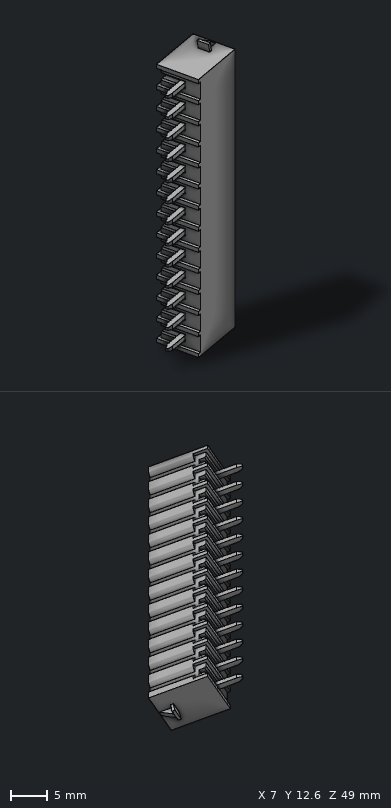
import cadquery as cq
import math

pin_count = 13
width = 7.0
depth = 9.2
row_length = 46.2
total_length = 49.0
divider_thickness = 0.7
pitch = (row_length - divider_thickness) / pin_count
left = -width / 2
cell_height = pitch - divider_thickness

face_recess = 0.5
side_recess = 0.5
side_step_y = -6.95
inner_left = left + side_recess
inner_front = -depth + face_recess

groove_floor_half = 0.35
groove_flank_angle = 42.0
groove_edge_radius = 0.5

pin_x = 0.5
pin_width = 0.9
pin_thickness = 0.8
pin_base_y = -7.6
pin_taper_y = -11.85
pin_tip_y = -12.6
pin_tip_width = 0.4
pin_tip_thickness = 0.45

slot_right = pin_x + pin_width / 2
mouth_chamfer = 0.25

hook_height = (total_length - row_length) / 2
hook_width = 1.9
hook_thickness = 0.5
hook_back_y = -2.1
hook_lean = 0.25
hook_foot = 0.3
rib_width = 0.8
rib_back_y = -0.1


def cell_centres():
    """Z positions of the pins, centred on the housing."""
    middle = (pin_count - 1) / 2
    return [(i - middle) * pitch for i in range(pin_count)]


def box(x_range, y_range, z_range):
    """Axis-aligned box from its limits."""
    sizes = [limits[1] - limits[0] for limits in (x_range, y_range, z_range)]
    corner = (x_range[0], y_range[0], z_range[0])
    return cq.Workplane("XY").box(*sizes, centered=False).translate(corner)


def pocket():
    """Front and side recess between two dividers."""
    z_range = (-cell_height / 2, cell_height / 2)
    front = box((left, -left), (-depth, inner_front), z_range)
    side = box((left, inner_left), (-depth, side_step_y), z_range)
    return front.union(side)


def side_groove():
    """Groove along Y with sloped flanks that round over into the left face."""
    angle = math.radians(groove_flank_angle)
    round_depth = groove_edge_radius * (1 - math.cos(angle))
    round_height = groove_edge_radius * math.sin(angle)
    flank_half = groove_floor_half + (side_recess - round_depth) / math.tan(angle)
    mouth_half = flank_half + round_height
    flank_x = left + round_depth
    arc_mid_x = left + groove_edge_radius * (1 - math.cos(angle / 2))
    arc_mid_half = mouth_half - groove_edge_radius * math.sin(angle / 2)
    return (
        cq.Workplane("XZ")
        .moveTo(left, mouth_half)
        .threePointArc((arc_mid_x, arc_mid_half), (flank_x, flank_half))
        .lineTo(inner_left, groove_floor_half)
        .lineTo(inner_left, -groove_floor_half)
        .lineTo(flank_x, -flank_half)
        .threePointArc((arc_mid_x, -arc_mid_half), (left, -mouth_half))
        .close()
        .extrude(-side_step_y)
    )


def pin_slot():
    """Slot from the left face to the pin, widening at its mouth."""
    half = pin_thickness / 2
    mouth_half = half + mouth_chamfer
    return (
        cq.Workplane("YZ", origin=(left, 0, 0))
        .polyline([
            (pin_base_y, half),
            (inner_front + mouth_chamfer, half),
            (inner_front, mouth_half),
            (inner_front, -mouth_half),
            (inner_front + mouth_chamfer, -half),
            (pin_base_y, -half),
        ])
        .close()
        .extrude(slot_right - left)
    )


def pin():
    """Rectangular pin with a tapered tip."""
    shank = (
        cq.Workplane("XZ", origin=(pin_x, pin_base_y, 0))
        .rect(pin_width, pin_thickness)
        .extrude(pin_base_y - pin_taper_y)
    )
    tip = (
        cq.Workplane("XZ", origin=(pin_x, pin_taper_y, 0))
        .rect(pin_width, pin_thickness)
        .workplane(offset=pin_taper_y - pin_tip_y)
        .rect(pin_tip_width, pin_tip_thickness)
        .loft()
    )
    return shank.union(tip)


def snap_hook():
    """Leaning plate on the top end, backed by a narrow ramp."""
    base = row_length / 2
    tip = base + hook_height
    front_y = hook_back_y - hook_thickness
    plate = (
        cq.Workplane("YZ")
        .polyline([
            (hook_back_y, base),
            (hook_back_y - hook_lean, tip),
            (front_y - hook_lean, tip),
            (front_y, base + hook_foot),
            (front_y, base),
        ])
        .close()
        .extrude(hook_width / 2, both=True)
    )
    ramp = (
        cq.Workplane("YZ")
        .polyline([(rib_back_y, base), (hook_back_y, base), (hook_back_y - hook_lean, tip)])
        .close()
        .extrude(rib_width / 2, both=True)
    )
    return plate.union(ramp)


housing = box((left, -left), (-depth, 0), (-row_length / 2, row_length / 2))
cell_cutter = pocket().union(side_groove()).union(pin_slot())
for z in cell_centres():
    housing = housing.cut(cell_cutter.translate((0, 0, z)))
for z in cell_centres():
    housing = housing.union(pin().translate((0, 0, z)))

hook = snap_hook()
result = housing.union(hook).union(hook.mirror("XY"))